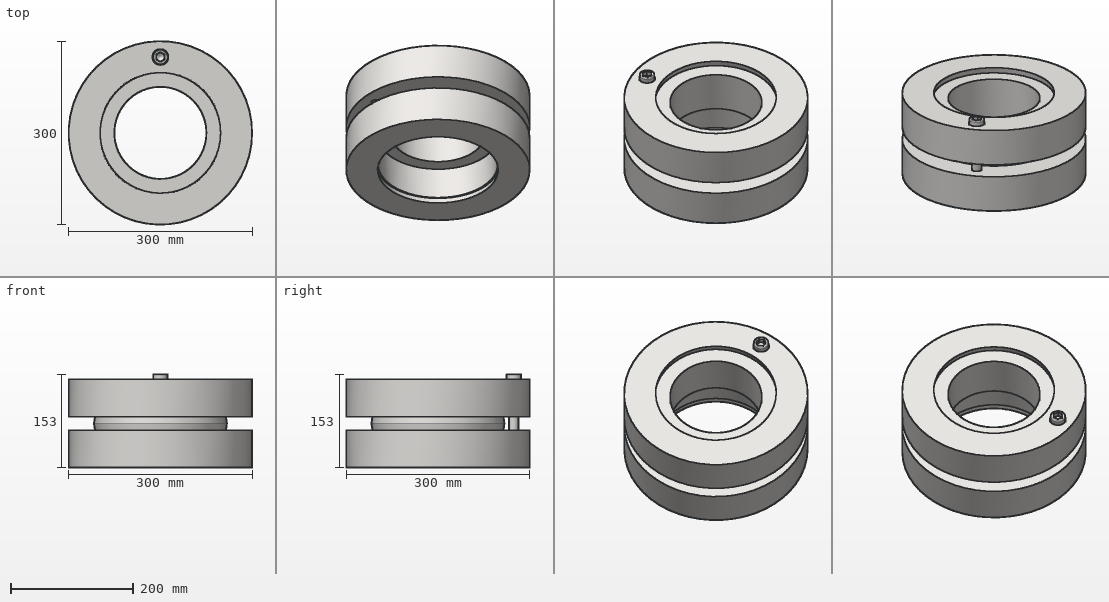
import cadquery as cq
import math

flange_diameter = 300.0
flange_thickness = 61.5
flange_gap = 21.5
stack_height = 2 * flange_thickness + flange_gap
mid_height = stack_height / 2

cone_mid_diameter = 217.8
cone_face_diameter = 196.8
cone_slope = (cone_mid_diameter - cone_face_diameter) / 2 / mid_height

ring_recess = 10.0
ring_bore_diameter = 150.0
ring_counterbore_diameter = 195.0
ring_lip_height = 69.3
ring_bottom = ring_recess
ring_top = stack_height - ring_recess
lip_bottom = ring_top - ring_lip_height

screw_y = 124.0
screw_diameter = 16.0
screw_length = 120.0
head_diameter = 24.0
head_height = 16.0
head_projection = 8.5
head_fillet = 1.5
socket_width = 13.8
socket_depth = 8.0
socket_tip_angle = 120.0
head_top = stack_height + head_projection
head_bottom = head_top - head_height
shank_bottom = head_bottom - screw_length

clearance_diameter = 18.0
head_recess_diameter = 26.0


def cylinder(diameter, bottom, top, y=0.0):
    """Vertical cylinder between two heights, centred on X = 0."""
    base = cq.Workplane("XY", origin=(0, y, bottom))
    return base.circle(diameter / 2).extrude(top - bottom)


def double_cone(bottom, top):
    """Solid double cone, cut off flat at the given heights."""
    def radius_at(height):
        return cone_mid_diameter / 2 - cone_slope * abs(height - mid_height)

    profile = [
        (0, bottom),
        (radius_at(bottom), bottom),
        (radius_at(mid_height), mid_height),
        (radius_at(top), top),
        (0, top),
    ]
    return cq.Workplane("XZ").polyline(profile).close().revolve(360, (0, 0), (0, 1))


def make_flange(bottom):
    """Plain disc with a conical bore that seats on the inner ring."""
    disc = cylinder(flange_diameter, bottom, bottom + flange_thickness)
    return disc.cut(double_cone(0, stack_height))


def make_lower_flange():
    """Flange with a blind hole that holds the screw end."""
    screw_hole = cylinder(screw_diameter, shank_bottom, flange_thickness, screw_y)
    return make_flange(0).cut(screw_hole)


def make_upper_flange():
    """Flange with a clearance hole and a recess for the screw head."""
    bottom = flange_thickness + flange_gap
    clearance_hole = cylinder(clearance_diameter, bottom, stack_height, screw_y)
    head_recess = cylinder(head_recess_diameter, head_bottom, stack_height, screw_y)
    return make_flange(bottom).cut(clearance_hole).cut(head_recess)


def make_inner_ring():
    """Double-cone ring with a narrow bore above a wide counterbore."""
    bore = cylinder(ring_bore_diameter, ring_bottom, ring_top)
    counterbore = cylinder(ring_counterbore_diameter, ring_bottom, lip_bottom)
    return double_cone(ring_bottom, ring_top).cut(bore).cut(counterbore)


def make_screw():
    """Round-edged head on a plain shank, with a cone-bottomed hex socket."""
    head = cylinder(head_diameter, head_bottom, head_top, screw_y).faces(">Z").edges().fillet(head_fillet)
    shank = cylinder(screw_diameter, shank_bottom, head_bottom, screw_y)

    socket_floor = head_top - socket_depth
    corner_diameter = socket_width / math.cos(math.radians(30))
    socket = (
        cq.Workplane("XY", origin=(0, screw_y, socket_floor))
        .transformed(rotate=(0, 0, 90))
        .polygon(6, corner_diameter)
        .extrude(socket_depth)
    )
    tip_radius = socket_width / 2
    tip_depth = tip_radius / math.tan(math.radians(socket_tip_angle / 2))
    tip = cq.Workplane(
        cq.Solid.makeCone(tip_radius, 0, tip_depth, cq.Vector(0, screw_y, socket_floor), cq.Vector(0, 0, -1))
    )
    return head.union(shank).cut(socket).cut(tip)


lower_flange = make_lower_flange()
upper_flange = make_upper_flange()
inner_ring = make_inner_ring()
screw = make_screw()

result = cq.Compound.makeCompound([
    lower_flange.solids().val(),
    upper_flange.solids().val(),
    inner_ring.solids().val(),
    screw.solids().val(),
])